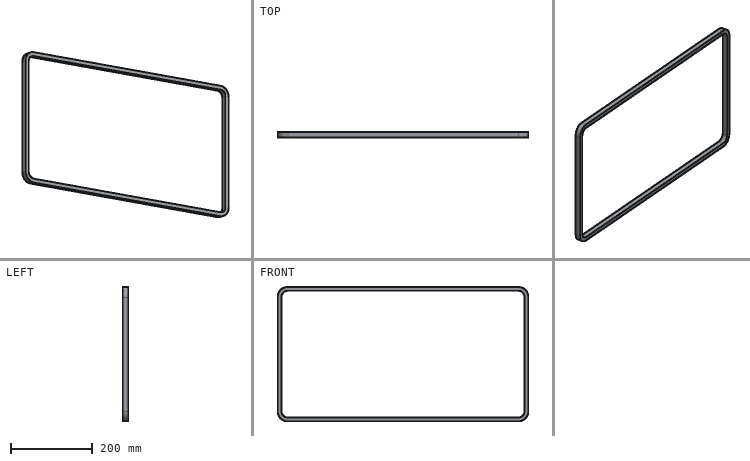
import cadquery as cq

length = 615.0
height = 330.0
depth = 14.0

wall = 10.0
outer_corner_radius = 25.0
inner_corner_radius = outer_corner_radius - wall


def rounded_block(size_x, size_z, corner_radius):
    """Block of the ring's depth, centred on the origin, with its corners along Y rounded."""
    block = cq.Workplane("XY").box(size_x, depth, size_z)
    return block.edges("|Y").fillet(corner_radius)


outer_block = rounded_block(length, height, outer_corner_radius)
opening = rounded_block(length - 2 * wall, height - 2 * wall, inner_corner_radius)

result = outer_block.cut(opening)